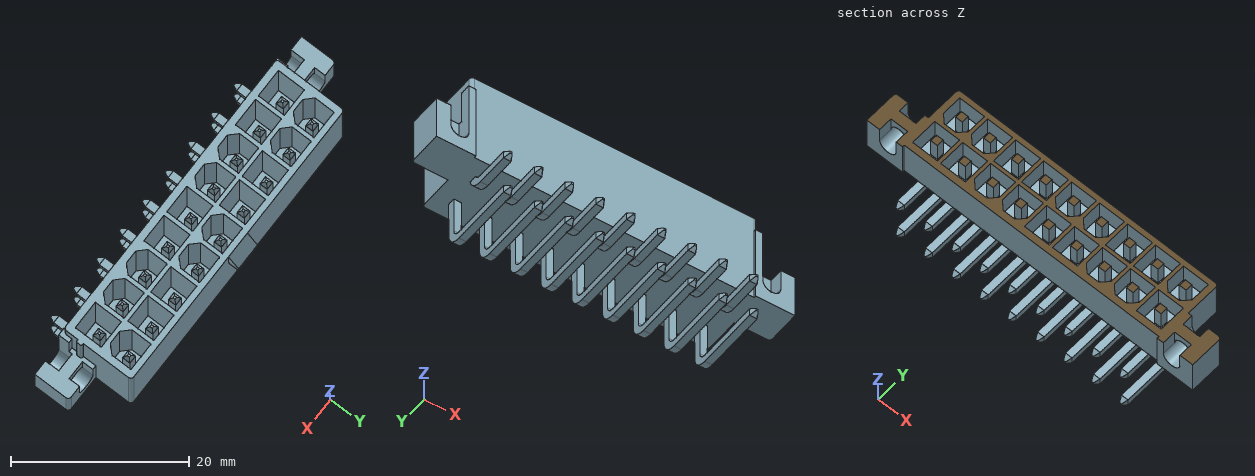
import cadquery as cq


overall_length = 49.0

housing_width = 39.1
housing_front = 0.3
housing_back = 9.9
housing_height = 12.8
corner_radius = 0.45

columns = 9
row_length = 33.6
pitch = row_length / (columns - 1)
front_row_y = 3.25
back_row_y = front_row_y + pitch

cavity_size = 3.68
cavity_floor = 2.45
key_chamfer = 1.0
back_row_key = "KK--KK--K"
front_row_key = "--KK--KK-"
cavity_offset = -0.15

pin_size = 1.05
pin_top = 8.8
pin_end_y = -3.6
pin_tip_length = 0.75
pin_tip_size = 0.3
bend_radius = 1.5
front_pin_drop = 1.15
back_pin_bottom = -7.15
back_pin_drop = -back_pin_bottom - pin_size / 2

ear_depth = 4.85
ear_height = 6.15
slot_radius = 1.22
slot_x = 21.3
slot_z = 3.15
web_front = 1.9
web_back = 3.4

strip_inner_x = housing_width / 2 - corner_radius
strip_outer_x = slot_x - slot_radius
strip_depth = 1.45
strip_height = 10.75

latch_width = 3.5
latch_back = 11.3
latch_lip_top = 10.5
latch_bottom = 9.7

rib_y = 2.7
rib_width = 0.8
rib_height = 0.35
rib_fillet = 0.2


def block(x0, x1, y0, y1, z0, z1):
    """Box given by its limits along each axis."""
    return cq.Workplane("XY").box(x1 - x0, y1 - y0, z1 - z0, centered=False).translate((x0, y0, z0))


def column_x(column):
    return (column - (columns - 1) / 2) * pitch


def make_housing():
    half_width = housing_width / 2
    housing = block(-half_width, half_width, housing_front, housing_back, 0, housing_height)
    return housing.edges("|Z").fillet(corner_radius)


def make_cavity(x, row_y, keyed):
    half = cavity_size / 2
    y = row_y + cavity_offset
    cavity = block(x - half, x + half, y - half, y + half, cavity_floor, housing_height)
    if keyed:
        cavity = cavity.faces("<Y").edges("|Z").chamfer(key_chamfer)
    return cavity


def make_ear():
    """Ear and corner strip at the +X end, slotted from both sides of a pierced web."""
    outer_x = overall_length / 2
    ear = block(strip_inner_x, outer_x, 0, ear_depth, 0, ear_height)
    ear = ear.edges("|Z and >X and >Y").fillet(corner_radius)
    ear = ear.union(block(strip_inner_x, strip_outer_x, 0, strip_depth, 0, strip_height))

    hole = (
        cq.Workplane("XZ")
        .center(slot_x, slot_z)
        .circle(slot_radius)
        .extrude(-ear_depth)
    )
    ear = ear.cut(hole)
    for y0, y1 in ((0, web_front), (web_back, ear_depth)):
        ear = ear.cut(block(slot_x - slot_radius, slot_x + slot_radius, y0, y1, slot_z, ear_height))
    return ear


def make_latch():
    return (
        cq.Workplane("YZ")
        .moveTo(housing_back, housing_height)
        .lineTo(latch_back, latch_lip_top)
        .lineTo(latch_back, latch_bottom)
        .lineTo(housing_back, latch_bottom)
        .close()
        .extrude(latch_width / 2, both=True)
    )


def make_rib():
    end_x = housing_width / 2
    rib = block(end_x - rib_height, end_x + rib_height,
                rib_y - rib_width / 2, rib_y + rib_width / 2, 0, housing_height)
    return rib.edges("|Z and >X").fillet(rib_fillet)


def make_pin(x, row_y, drop):
    """Square pin that stands in a cavity, bends below the housing and runs forward."""
    half = pin_size / 2
    outer_radius = bend_radius + half
    inner_radius = bend_radius - half
    bend_y = row_y - bend_radius
    bend_z = bend_radius - drop
    top_shoulder = pin_top - pin_tip_length
    end_shoulder = pin_end_y + pin_tip_length

    shank = (
        cq.Workplane("YZ")
        .moveTo(row_y + half, top_shoulder)
        .lineTo(row_y + half, bend_z)
        .radiusArc((bend_y, -drop - half), outer_radius)
        .lineTo(end_shoulder, -drop - half)
        .lineTo(end_shoulder, -drop + half)
        .lineTo(bend_y, -drop + half)
        .radiusArc((row_y - half, bend_z), -inner_radius)
        .lineTo(row_y - half, top_shoulder)
        .close()
        .extrude(half, both=True)
    )
    top_plane = cq.Plane(origin=(0, row_y, top_shoulder), xDir=(1, 0, 0), normal=(0, 0, 1))
    end_plane = cq.Plane(origin=(0, end_shoulder, -drop), xDir=(1, 0, 0), normal=(0, -1, 0))
    for plane in (top_plane, end_plane):
        tip = (
            cq.Workplane(plane)
            .rect(pin_size, pin_size)
            .workplane(offset=pin_tip_length)
            .rect(pin_tip_size, pin_tip_size)
            .loft()
        )
        shank = shank.union(tip)
    return shank.translate((x, 0, 0))


ear = make_ear()
result = make_housing().union(ear).union(ear.mirror("YZ")).union(make_latch()).union(make_rib())

rows = (
    (front_row_y, front_pin_drop, front_row_key),
    (back_row_y, back_pin_drop, back_row_key),
)
for row_y, drop, keys in rows:
    for column, key in enumerate(keys):
        x = column_x(column)
        result = result.cut(make_cavity(x, row_y, key == "K"))
        result = result.union(make_pin(x, row_y, drop))